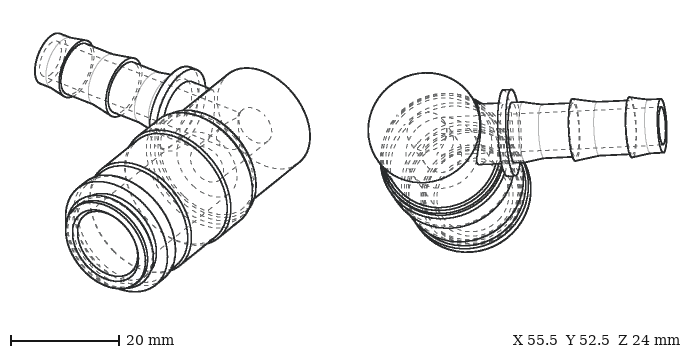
import cadquery as cq

front_radius = 9.0
bead_radius = 9.6
sleeve_radius = 11.5
neck_radius = 11.05
band_radius = 12.0
rear_radius = 10.5
bead_start, bead_end = 0.7, 2.15
nose_end = 3.55
collar_end = 6.15
neck_start, neck_end = 6.6, 10.7
sleeve_start, sleeve_end = 11.25, 22.8
band_start, band_end = 23.25, 30.25
rim_start, rim_end = 30.85, 32.15
rear_start = 32.65
body_length = 51.0

tail_radius = 5.0
shoulder_radius = 5.6
flange_radius = 8.0
flange_start, flange_end = 27.9, 29.4
shoulder_ramp_start, shoulder_ramp_end = 22.35, 25.9
barbs = [(2.45, 5.9, 5.6), (12.0, 16.55, 5.75)]

overall_length = 55.5
body_axis_x = overall_length - band_radius
tail_axis_y = 44.5

socket_radius = 6.75
socket_depth = rear_start
mouth_chamfer = 0.65
passage_radius = 3.7
tail_bore_radius = 3.5
passage_end = tail_axis_y + passage_radius


def cylinder_along_y(radius, start, end):
    """Cylinder on the body axis."""
    return cq.Workplane("XZ", origin=(body_axis_x, start, 0)).circle(radius).extrude(start - end)


def make_body():
    outline = (
        cq.Workplane("XY")
        .lineTo(front_radius, 0)
        .lineTo(front_radius, bead_start)
        .threePointArc((bead_radius, (bead_start + bead_end) / 2), (front_radius, bead_end))
        .lineTo(front_radius, nose_end)
        .lineTo(sleeve_radius, nose_end)
        .lineTo(sleeve_radius, collar_end)
        .lineTo(neck_radius, neck_start)
        .lineTo(neck_radius, neck_end)
        .lineTo(sleeve_radius, sleeve_start)
        .lineTo(sleeve_radius, sleeve_end)
        .lineTo(band_radius, band_start)
        .lineTo(band_radius, band_end)
        .lineTo(sleeve_radius, rim_start)
        .lineTo(sleeve_radius, rim_end)
        .lineTo(neck_radius, rear_start)
        .lineTo(rear_radius, rear_start)
        .lineTo(rear_radius, body_length)
        .lineTo(0, body_length)
        .close()
    )
    return outline.revolve(360, (0, 0, 0), (0, 1, 0)).translate((body_axis_x, 0, 0))


def make_tail():
    outline = cq.Workplane("XY").lineTo(0, tail_radius)
    for ramp_start, ramp_end, crest_radius in barbs:
        outline = (
            outline.lineTo(ramp_start, tail_radius)
            .lineTo(ramp_end, crest_radius)
            .lineTo(ramp_end, tail_radius)
        )
    outline = (
        outline.lineTo(shoulder_ramp_start, tail_radius)
        .lineTo(shoulder_ramp_end, shoulder_radius)
        .lineTo(flange_start, shoulder_radius)
        .lineTo(flange_start, flange_radius)
        .lineTo(flange_end, flange_radius)
        .lineTo(flange_end, shoulder_radius)
        .lineTo(body_axis_x, shoulder_radius)
        .lineTo(body_axis_x, 0)
        .close()
    )
    return outline.revolve(360, (0, 0, 0), (1, 0, 0)).translate((0, tail_axis_y, 0))


def make_mouth():
    """Cone that widens the socket at its open end."""
    return (
        cq.Workplane("XY")
        .lineTo(socket_radius + mouth_chamfer, 0)
        .lineTo(socket_radius, mouth_chamfer)
        .lineTo(0, mouth_chamfer)
        .close()
        .revolve(360, (0, 0, 0), (0, 1, 0))
        .translate((body_axis_x, 0, 0))
    )


def make_tail_bore():
    return (
        cq.Workplane("YZ", origin=(0, tail_axis_y, 0))
        .circle(tail_bore_radius)
        .extrude(body_axis_x)
    )


result = (
    make_body()
    .union(make_tail())
    .cut(cylinder_along_y(socket_radius, 0, socket_depth))
    .cut(make_mouth())
    .cut(cylinder_along_y(passage_radius, socket_depth, passage_end))
    .cut(make_tail_bore())
)